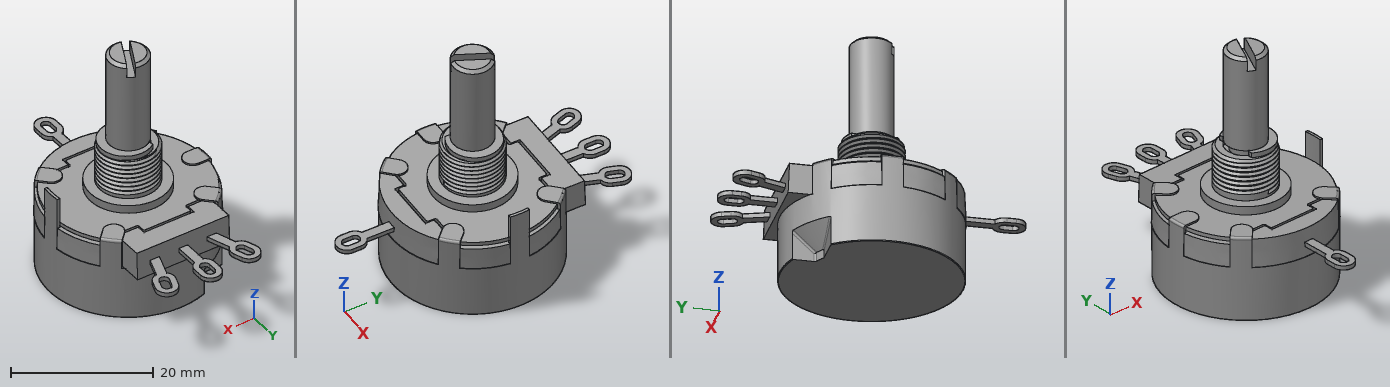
import cadquery as cq
import math


CUT_MARGIN = 1.0

CAN_RADIUS = 13.255
CAN_BOTTOM_FILLET = 0.12
TAB_WIDTH = 3.12
TAB_THICKNESS = 0.45
TAB_TIP_RADIUS = 9.44
TAB_FOLD_FILLET = 0.37
TAB_TOP = 13.56
FOLDED_TAB_ANGLES = (45, 135, 180, 225, 315)
UPRIGHT_TAB_ANGLE = 0
UPRIGHT_TAB_TOP = 17.47

NOTCH_HEIGHT = 4.45
NOTCH_DEPTH = 3.1
NOTCH_WALL_X = -4.45
NOTCH_WALL_Y = 8.25
NOTCH_CORNER_FILLET = 0.35

COVER_BOTTOM = 8.73
RIM_TOP = 12.35
COVER_TOP = 13.29
COVER_RADIUS = 13.34
COVER_TOP_RADIUS = 13.15
COVER_INNER_EDGE_Y = 8.74
COVER_NOTCH_Y = 10.21
COVER_NOTCH_HALF_WIDTH = 4.24
BOX_WIDTH = 15.7
BOX_BOTTOM_Y = 13.86
BOX_TOP_Y = 13.66

PLATE_BOTTOM = 12.67
PLATE_RADIUS = 12.82
PLATE_GAP = 0.4
PLATE_SIDE_GAP = 0.2
PLATE_CORNER_FILLET = 0.3
HUB_RADIUS = 5.5

LUG_BOTTOM = 10.46
LUG_THICKNESS = 0.7
LUG_TIP = 22.225
LUG_HEAD_RADIUS = 1.7
LUG_HOLE_RADIUS = 0.75
LUG_HOLE_SPACING = 1.35
LUG_STEM_WIDTH = 1.5
LUG_ROOT = 12.0
SIDE_LUG_ANGLE = 19.4
SIDE_LUG_EXTRA = 0.57

FLANGE_RADIUS = 6.4
FLANGE_TOP = 14.63
BUSHING_RADIUS = 9.525 / 2
BUSHING_TOP = 21.1
BUSHING_CHAMFER = 0.45
BORE_RADIUS = 3.2
RECESS_BOTTOM = 20.43
THREAD_PITCH = 0.75
THREAD_DEPTH = 0.36
THREAD_CREST = 0.1
THREAD_START = 15.32
THREAD_OVERRUN = 0.3
THREAD_OVERSHOOT = 0.1
BARREL_SEAM_ANGLE = 37

SHAFT_RADIUS = 3.175
SHAFT_TOP = 36.9
SHAFT_CHAMFER_WIDTH = 0.52
SHAFT_CHAMFER_HEIGHT = 0.45
NECK_RADIUS = 2.36
SLOT_WIDTH = 1.25
SLOT_DEPTH = 2.06
SLOT_ANGLE = 63.5
CLIP_TOP = 21.87
CLIP_RADIUS = 4.13
CLIP_OFFSET = 0.5
CLIP_END_X = -1.92
CLIP_MOUTH_HALF_WIDTH = 2.5
CLIP_TIP_FILLET = 0.4


def disc(radius, bottom, top):
    return cq.Workplane("XY").workplane(offset=bottom).circle(radius).extrude(top - bottom)


def block(x_min, x_max, y_min, y_max, z_min, z_max):
    size = (x_max - x_min, y_max - y_min, z_max - z_min)
    return cq.Workplane("XY").box(*size, centered=False).translate((x_min, y_min, z_min))


def turned(shape, angle):
    return shape.rotate((0, 0, 0), (0, 0, 1), angle)


def tab_wall(top):
    """Upright tab on the +X side; it reaches past the can radius and is trimmed there."""
    outer = CAN_RADIUS + CUT_MARGIN
    inner = CAN_RADIUS - TAB_THICKNESS
    wall = disc(outer, COVER_BOTTOM, top).cut(disc(inner, COVER_BOTTOM, top))
    strip = block(0, outer, -TAB_WIDTH / 2, TAB_WIDTH / 2, COVER_BOTTOM, top)
    return wall.intersect(strip)


def folded_tab():
    """Tab on the +X side, folded inward over the plate; its outside is trimmed by the can."""
    half = TAB_WIDTH / 2
    leaf = (
        cq.Workplane("XY")
        .workplane(offset=COVER_TOP)
        .moveTo(CAN_RADIUS + CUT_MARGIN, -half)
        .lineTo(TAB_TIP_RADIUS + half, -half)
        .threePointArc((TAB_TIP_RADIUS, 0), (TAB_TIP_RADIUS + half, half))
        .lineTo(CAN_RADIUS + CUT_MARGIN, half)
        .close()
        .extrude(TAB_TOP - COVER_TOP)
    )
    return leaf.union(tab_wall(TAB_TOP))


def make_notch():
    """Ring sector that undercuts the can wall on the -X, +Y side."""
    outer = CAN_RADIUS + CUT_MARGIN
    inner = CAN_RADIUS - NOTCH_DEPTH
    profile = [
        (inner, -CUT_MARGIN),
        (outer, -CUT_MARGIN),
        (outer, NOTCH_HEIGHT),
        (CAN_RADIUS, NOTCH_HEIGHT),
        (inner, NOTCH_HEIGHT - NOTCH_DEPTH),
    ]
    ring = cq.Workplane("XZ").polyline(profile).close().revolve(360, (0, 0), (0, 1))
    sector = block(-outer, NOTCH_WALL_X, NOTCH_WALL_Y, outer, -CUT_MARGIN, NOTCH_HEIGHT)
    notch = ring.intersect(sector)
    inner_edges = cq.selectors.BoxSelector(
        (-outer, NOTCH_WALL_Y - CUT_MARGIN, -outer),
        (NOTCH_WALL_X + CUT_MARGIN, NOTCH_WALL_Y + NOTCH_DEPTH, outer),
    )
    corners = notch.edges("%HYPERBOLA or |Z").edges(inner_edges).edges(">X or %HYPERBOLA")
    return corners.fillet(NOTCH_CORNER_FILLET)


def make_can():
    """Can with its tabs: the wall continues upward only where a tab is."""
    shell = disc(CAN_RADIUS, 0, TAB_TOP)
    shell = shell.faces("<Z").edges().fillet(CAN_BOTTOM_FILLET)
    shell = shell.faces(">Z").edges().fillet(TAB_FOLD_FILLET)
    waste = disc(CAN_RADIUS + CUT_MARGIN, COVER_BOTTOM, TAB_TOP)
    for angle in FOLDED_TAB_ANGLES:
        waste = waste.cut(turned(folded_tab(), angle))
    can = shell.cut(waste).cut(make_notch())
    upright = tab_wall(UPRIGHT_TAB_TOP).intersect(disc(CAN_RADIUS, COVER_BOTTOM, UPRIGHT_TAB_TOP))
    return can.union(turned(upright, UPRIGHT_TAB_ANGLE))


def inner_outline(edge_y, notch_y, notch_half_width):
    """Stepped outline shared by the plate and the opening in the cover."""
    reach = CAN_RADIUS + CUT_MARGIN
    return (
        cq.Workplane("XY")
        .workplane(offset=RIM_TOP)
        .rect(2 * reach, 2 * edge_y)
        .extrude(COVER_TOP - RIM_TOP)
        .union(block(-notch_half_width, notch_half_width, -notch_y, notch_y, RIM_TOP, COVER_TOP))
    )


def make_cover():
    """Drafted skirt with tab slots, a raised part front and rear, and the lug box at the rear."""
    reach = 2 * CAN_RADIUS
    height = COVER_TOP - COVER_BOTTOM
    profile = [(0, COVER_BOTTOM), (COVER_RADIUS, COVER_BOTTOM), (COVER_TOP_RADIUS, COVER_TOP), (0, COVER_TOP)]
    skirt = cq.Workplane("XZ").polyline(profile).close().revolve(360, (0, 0), (0, 1))
    box_profile = [(0, COVER_BOTTOM), (BOX_BOTTOM_Y, COVER_BOTTOM), (BOX_TOP_Y, COVER_TOP), (0, COVER_TOP)]
    box = cq.Workplane("YZ").polyline(box_profile).close().extrude(BOX_WIDTH / 2, both=True)
    cover = skirt.union(box)

    box_side = BOX_WIDTH / 2
    corner_y = box_side + TAB_WIDTH / math.sqrt(2)
    for x_min, x_max in ((-reach, -box_side), (box_side, reach)):
        cover = cover.cut(block(x_min, x_max, corner_y, reach, COVER_BOTTOM, COVER_TOP))

    side = cq.Workplane("XY").workplane(offset=RIM_TOP).polyline([(0, 0), (reach, -reach), (reach, reach)])
    side = side.close().extrude(height)
    for angle in (0, 180):
        cover = cover.cut(turned(side, angle))
    cover = cover.cut(inner_outline(COVER_INNER_EDGE_Y, COVER_NOTCH_Y, COVER_NOTCH_HALF_WIDTH))

    wall_inner = CAN_RADIUS - TAB_THICKNESS
    tab_slot = block(wall_inner, reach, -TAB_WIDTH / 2, TAB_WIDTH / 2, COVER_BOTTOM, COVER_TOP)
    for angle in (UPRIGHT_TAB_ANGLE, *FOLDED_TAB_ANGLES):
        cover = cover.cut(turned(tab_slot, angle))
    return cover


def make_plate():
    stepped = inner_outline(
        COVER_INNER_EDGE_Y - PLATE_GAP,
        COVER_NOTCH_Y - PLATE_GAP,
        COVER_NOTCH_HALF_WIDTH - PLATE_SIDE_GAP,
    )
    corner_x = COVER_NOTCH_HALF_WIDTH
    corners = cq.selectors.BoxSelector((-corner_x, -CAN_RADIUS, 0), (corner_x, CAN_RADIUS, SHAFT_TOP))
    stepped = stepped.edges("|Z").edges(corners).fillet(PLATE_CORNER_FILLET)
    plate = disc(PLATE_RADIUS, PLATE_BOTTOM, COVER_TOP).intersect(stepped)
    return plate.union(disc(HUB_RADIUS, RIM_TOP, COVER_TOP))


def make_lug(extra_length):
    """Solder lug pointing along +Y."""
    tip = LUG_TIP + extra_length
    hole_center = tip - LUG_HEAD_RADIUS - LUG_HOLE_SPACING / 2
    plane = cq.Workplane("XY").workplane(offset=LUG_BOTTOM)
    head_length = LUG_HOLE_SPACING + 2 * LUG_HEAD_RADIUS
    hole_length = LUG_HOLE_SPACING + 2 * LUG_HOLE_RADIUS
    head = plane.center(0, hole_center).slot2D(head_length, 2 * LUG_HEAD_RADIUS, 90).extrude(LUG_THICKNESS)
    hole = plane.center(0, hole_center).slot2D(hole_length, 2 * LUG_HOLE_RADIUS, 90).extrude(LUG_THICKNESS)
    half = LUG_STEM_WIDTH / 2
    stem = block(-half, half, LUG_ROOT, hole_center, LUG_BOTTOM, LUG_BOTTOM + LUG_THICKNESS)
    return head.union(stem).cut(hole)


def thread_groove():
    """Helical V groove; it starts on the -Y side and runs out at the top."""
    mouth = THREAD_PITCH - THREAD_CREST
    flare = THREAD_OVERSHOOT * mouth / (2 * THREAD_DEPTH)
    outer = BUSHING_RADIUS + THREAD_OVERSHOOT
    root = BUSHING_RADIUS - THREAD_DEPTH
    height = BUSHING_TOP + THREAD_OVERRUN - THREAD_START
    helix = cq.Wire.makeHelix(THREAD_PITCH, height, BUSHING_RADIUS)
    groove = (
        cq.Workplane("XZ")
        .moveTo(outer, -mouth / 2 - flare)
        .lineTo(root, 0)
        .lineTo(outer, mouth / 2 + flare)
        .close()
        .sweep(cq.Workplane(helix), isFrenet=True)
    )
    return turned(groove, -90).translate((0, 0, THREAD_START))


def make_bushing():
    flange = disc(FLANGE_RADIUS, COVER_TOP, FLANGE_TOP)
    barrel = turned(disc(BUSHING_RADIUS, COVER_TOP, BUSHING_TOP), BARREL_SEAM_ANGLE).cut(thread_groove())
    corner_profile = [
        (BUSHING_RADIUS - BUSHING_CHAMFER, BUSHING_TOP),
        (BUSHING_RADIUS + BUSHING_CHAMFER, BUSHING_TOP - 2 * BUSHING_CHAMFER),
        (BUSHING_RADIUS + BUSHING_CHAMFER, BUSHING_TOP),
    ]
    corner = cq.Workplane("XZ").polyline(corner_profile).close().revolve(360, (0, 0), (0, 1))
    recess = disc(BORE_RADIUS, RECESS_BOTTOM, BUSHING_TOP)
    return flange.union(barrel.cut(corner).cut(recess))


def make_shaft():
    shaft = disc(SHAFT_RADIUS, CLIP_TOP, SHAFT_TOP)
    shaft = shaft.faces(">Z").edges().chamfer(SHAFT_CHAMFER_HEIGHT, SHAFT_CHAMFER_WIDTH)
    half = SLOT_WIDTH / 2
    slot = block(-CAN_RADIUS, CAN_RADIUS, -half, half, SHAFT_TOP - SLOT_DEPTH, SHAFT_TOP)
    return shaft.cut(turned(slot, SLOT_ANGLE)).union(disc(NECK_RADIUS, COVER_TOP, CLIP_TOP))


def make_clip():
    """Retaining clip seated in the shaft neck, open toward -X."""
    clip = disc(CLIP_RADIUS, BUSHING_TOP, CLIP_TOP).translate((CLIP_OFFSET, 0, 0))
    clip = clip.cut(block(-CAN_RADIUS, CLIP_END_X, -CAN_RADIUS, CAN_RADIUS, BUSHING_TOP, CLIP_TOP))
    half = CLIP_MOUTH_HALF_WIDTH
    clip = clip.cut(block(-CAN_RADIUS, 0, -half, half, BUSHING_TOP, CLIP_TOP))
    tips = cq.selectors.BoxSelector(
        (CLIP_END_X - CLIP_TIP_FILLET, -half - CLIP_TIP_FILLET, BUSHING_TOP),
        (CLIP_END_X + CLIP_TIP_FILLET, half + CLIP_TIP_FILLET, CLIP_TOP),
    )
    return clip.edges("|Z").edges(tips).fillet(CLIP_TIP_FILLET)


result = make_can().union(make_cover()).union(make_plate())
for lug_angle in (0, 180):
    result = result.union(turned(make_lug(0), lug_angle))
for lug_angle in (SIDE_LUG_ANGLE, -SIDE_LUG_ANGLE):
    result = result.union(turned(make_lug(SIDE_LUG_EXTRA), lug_angle))
result = result.union(make_bushing()).union(make_clip()).union(make_shaft())